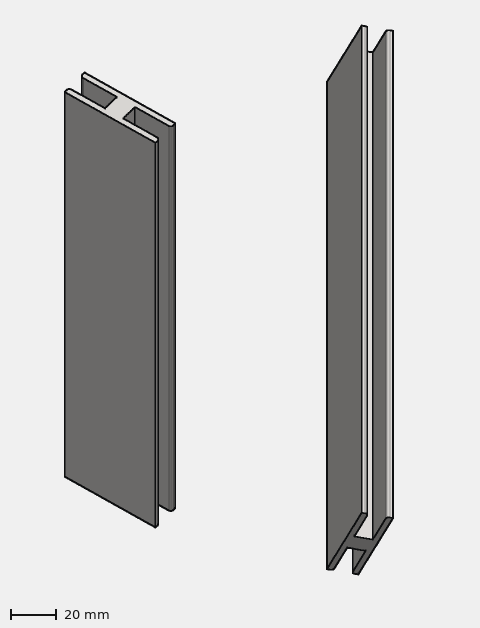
import cadquery as cq

width = 50.0
depth = 14.5
length = 250.0

flange_thickness = 3.0
web_width = 10.0
lip_radius = 1.5

slot_gap = depth - 2 * flange_thickness
slot_depth = (width - web_width) / 2
slot_center = (web_width + slot_depth) / 2

body = cq.Workplane("XY").box(width, depth, length)

slots = (
    cq.Workplane("XY")
    .pushPoints([(-slot_center, 0), (slot_center, 0)])
    .box(slot_depth, slot_gap, length)
)
profile = body.cut(slots)

mouth_edges = profile.edges("|Z").edges(
    cq.selectors.BoxSelector(
        (-width, -depth / 2 + flange_thickness / 2, -length),
        (width, depth / 2 - flange_thickness / 2, length),
    )
).edges("<X or >X")
result = mouth_edges.fillet(lip_radius)